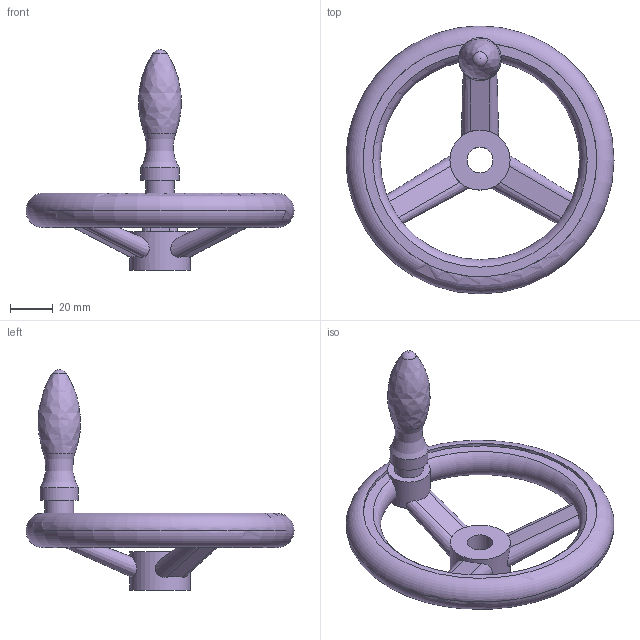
import cadquery as cq
import math

rim_outer_radius = 62.5
rim_section_radius = 8.0
rim_center_z = 28.0
rim_center_radius = rim_outer_radius - rim_section_radius
rim_top_z = rim_center_z + rim_section_radius
rebate_inner_radius = 50.0
rebate_floor_z = rim_center_z + math.sqrt(
    rim_section_radius**2 - (rim_center_radius - rebate_inner_radius) ** 2
)

hub_radius = 14.0
hub_height = 18.0
bore_radius = 6.0

spoke_count = 3
first_spoke_angle = 90.0
spoke_axis_start_z = 5.5
spoke_flat_width = 8.7
spoke_start_thickness = 9.6
spoke_end_thickness = 6.2
spoke_rise = rim_center_z - spoke_axis_start_z
spoke_slope_angle = math.degrees(math.atan2(spoke_rise, rim_center_radius))
spoke_length = math.hypot(rim_center_radius, spoke_rise)

boss_y = 47.0
boss_radius = 10.0
boss_bottom_z = 21.0
boss_top_z = rim_top_z

neck_radius = 6.7
collar_bottom_z = 42.0
collar_top_z = 48.0
waist_radius = 6.2
waist_z = 57.5
belly_radius = 10.0
belly_z = 78.5
tip_radius = 4.0
handle_top_z = 103.0
tip_center_z = handle_top_z - tip_radius

tip_rise = tip_center_z - belly_z
belly_arc_radius = (belly_radius**2 + tip_rise**2 - tip_radius**2) / (2 * (belly_radius - tip_radius))
belly_center = (belly_radius - belly_arc_radius, belly_z)

waist_offset = waist_radius - belly_center[0]
waist_arc_radius = (waist_offset**2 + (belly_z - waist_z) ** 2 - belly_arc_radius**2) / (
    2 * (belly_arc_radius - waist_offset)
)
waist_center = (waist_radius + waist_arc_radius, waist_z)

collar_radius = waist_center[0] - math.sqrt(waist_arc_radius**2 - (waist_z - collar_top_z) ** 2)


def disc(radius, bottom_z, top_z):
    """Upright cylinder on the Z axis."""
    return cq.Workplane("XY").workplane(offset=bottom_z).circle(radius).extrude(top_z - bottom_z)


def make_rim():
    ring = (
        cq.Workplane("XZ")
        .center(rim_center_radius, rim_center_z)
        .circle(rim_section_radius)
        .revolve(360, (-rim_center_radius, 0), (-rim_center_radius, 1))
    )
    return ring.cut(disc(rim_center_radius, rebate_floor_z, rim_top_z))


def stadium(thickness):
    """Width and thickness of a spoke section with fully rounded edges."""
    return spoke_flat_width + thickness, thickness


def make_spoke(angle):
    """Spoke from the wheel axis to the center of the rim section, at an angle from +X."""
    slope = math.radians(spoke_slope_angle)
    section_plane = cq.Plane(
        origin=(0, 0, spoke_axis_start_z),
        xDir=(0, 1, 0),
        normal=(math.cos(slope), 0, math.sin(slope)),
    )
    spoke = (
        cq.Workplane(section_plane)
        .slot2D(*stadium(spoke_start_thickness))
        .workplane(offset=spoke_length)
        .slot2D(*stadium(spoke_end_thickness))
        .loft(combine=True)
    )
    spoke = spoke.cut(disc((bore_radius + hub_radius) / 2, 0, hub_height))
    return spoke.rotate((0, 0, 0), (0, 0, 1), angle)


def point_on_circle(center, radius, angle):
    return center[0] + radius * math.cos(angle), center[1] + radius * math.sin(angle)


def make_handle():
    waist_direction = math.atan2(waist_center[1] - belly_center[1], waist_center[0] - belly_center[0])
    tip_direction = math.atan2(tip_rise, -belly_center[0])

    collar_direction = math.pi + math.asin((waist_z - collar_top_z) / waist_arc_radius)
    grip_direction = math.pi + waist_direction

    collar_arc_mid = point_on_circle(waist_center, waist_arc_radius, (collar_direction + math.pi) / 2)
    waist_arc_mid = point_on_circle(waist_center, waist_arc_radius, (grip_direction + math.pi) / 2)
    grip_start = point_on_circle(belly_center, belly_arc_radius, waist_direction)
    grip_end = point_on_circle(belly_center, belly_arc_radius, tip_direction)
    tip_mid = point_on_circle((0, tip_center_z), tip_radius, (tip_direction + math.pi / 2) / 2)

    return (
        cq.Workplane("XZ")
        .moveTo(0, boss_bottom_z)
        .lineTo(neck_radius, boss_bottom_z)
        .lineTo(neck_radius, collar_bottom_z)
        .lineTo(collar_radius, collar_bottom_z)
        .lineTo(collar_radius, collar_top_z)
        .threePointArc(collar_arc_mid, (waist_radius, waist_z))
        .threePointArc(waist_arc_mid, grip_start)
        .threePointArc((belly_radius, belly_z), grip_end)
        .threePointArc(tip_mid, (0, handle_top_z))
        .close()
        .revolve(360, (0, 0), (0, 1))
        .translate((0, boss_y, 0))
    )


result = make_rim()
result = result.union(disc(hub_radius, 0, hub_height))
for index in range(spoke_count):
    result = result.union(make_spoke(first_spoke_angle + index * 360 / spoke_count))
result = result.union(disc(boss_radius, boss_bottom_z, boss_top_z).translate((0, boss_y, 0)))
result = result.union(make_handle())
result = result.cut(disc(bore_radius, 0, hub_height))